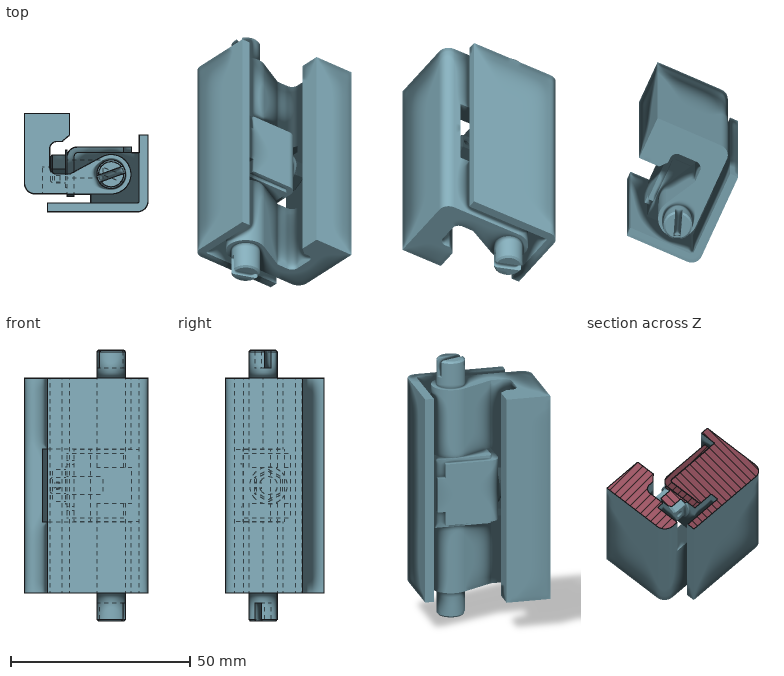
import cadquery as cq
import math

leaf_length = 60.0
overall_length = 75.6
total_width = 34.5
total_depth = 27.5

leaf_front = 5.0
leaf_corner_radius = 3.0
lip_width = 12.6
lip_chamfer_x = 2.1
lip_chamfer_y = 1.8
groove_left = 7.1
groove_top = 19.6
groove_radius = 2.0
knuckle_radius = 5.5
pin_x = 24.2
pin_y = leaf_front + knuckle_radius
groove_floor = pin_y
window_left = 5.0
window_length = 20.3

cover_thickness = 2.5
cover_left = 6.4
cover_leg_depth = 21.5
cover_corner_radius = 3.0
block_length = 20.0
block_left = 13.9
block_nose_front = 4.85
block_foot_left = 18.5
block_back = 16.5
block_corner_radius = 0.9

pin_radius = 4.0
pin_chamfer = 0.5
pin_inner_end = 5.0
pin_slot_width = 2.0
pin_slot_depth = 5.0
pin_slot_angle = 20.0

bracket_length = 18.0
bracket_leg_thickness = 2.0
bracket_top_thickness = 1.6
bracket_corner_radius = 2.8
bracket_shoulder_x = 27.6
bracket_tab_end_x = 29.9
bracket_tab_length = 10.0
bracket_left = block_left - bracket_leg_thickness
bracket_back = block_back + bracket_top_thickness
foot_radius = 0.55
foot_spacing = 12.8

screw_y = 12.0
screw_flats = 7.8
screw_head_height = 4.1
screw_chamfer = 0.5
flange_radius = 5.2
flange_thickness = 0.5
shank_radius = 2.5
shank_length = 10.0
cross_hole_radius = 0.75
cross_hole_depth = 2.0
cross_hole_chamfer = 0.3
cross_hole_setback = 2.2


def box(x_min, x_max, y_min, y_max, height):
    """Block between the given X and Y limits, centred on Z = 0."""
    block = cq.Workplane("XY").box(x_max - x_min, y_max - y_min, height, centered=(False, False, True))
    return block.translate((x_min, y_min, 0))


def x_cylinder(radius, x_start, length):
    """Cylinder along +X on the screw axis."""
    return cq.Workplane("YZ", origin=(x_start, screw_y, 0)).circle(radius).extrude(length)


def make_pin(end):
    """Slotted hinge pin; end is +1 for the upper pin and -1 for the lower one."""
    tip = overall_length / 2
    pin = (
        cq.Workplane("XY", origin=(0, 0, pin_inner_end))
        .circle(pin_radius)
        .extrude(tip - pin_inner_end)
        .faces(">Z")
        .chamfer(pin_chamfer)
    )
    slot = (
        cq.Workplane("XY", origin=(0, 0, tip - pin_slot_depth))
        .rect(4 * pin_radius, pin_slot_width)
        .extrude(pin_slot_depth)
        .rotate((0, 0, 0), (0, 0, 1), pin_slot_angle)
    )
    pin = pin.cut(slot)
    if end < 0:
        pin = pin.rotate((0, 0, 0), (1, 0, 0), 180)
    return pin.translate((pin_x, pin_y, 0))


def make_pin_bore(end):
    """Full cylinder that a pin occupies, used to bore its hole."""
    bore_length = overall_length / 2 - pin_inner_end
    start = cq.Workplane("XY", origin=(pin_x, pin_y, end * pin_inner_end))
    return start.circle(pin_radius).extrude(end * bore_length)


def make_frame_leaf():
    """Hooked leaf with its groove and the two end knuckles."""
    ramp_run = pin_x - lip_width
    ramp_angle = math.asin(knuckle_radius / ramp_run)
    tangent_x = pin_x - knuckle_radius * math.sin(ramp_angle)
    tangent_y = pin_y + knuckle_radius * math.cos(ramp_angle)
    leaf = (
        cq.Workplane("XY", origin=(0, 0, -leaf_length / 2))
        .moveTo(0, total_depth)
        .lineTo(lip_width, total_depth)
        .lineTo(lip_width, groove_top + lip_chamfer_y)
        .lineTo(lip_width - lip_chamfer_x, groove_top)
        .lineTo(groove_left + groove_radius, groove_top)
        .radiusArc((groove_left, groove_top - groove_radius), -groove_radius)
        .lineTo(groove_left, groove_floor + groove_radius)
        .radiusArc((groove_left + groove_radius, groove_floor), -groove_radius)
        .lineTo(lip_width, groove_floor)
        .lineTo(tangent_x, tangent_y)
        .threePointArc((pin_x + knuckle_radius, pin_y), (pin_x, leaf_front))
        .lineTo(leaf_corner_radius, leaf_front)
        .radiusArc((0, leaf_front + leaf_corner_radius), leaf_corner_radius)
        .close()
        .extrude(leaf_length)
    )
    window = box(window_left, lip_width, leaf_front, groove_floor + groove_radius, window_length)
    knuckle_gap = box(lip_width, total_width, leaf_front, pin_y + knuckle_radius, window_length)
    return leaf.cut(window).cut(knuckle_gap)


def make_cover_leaf():
    """Angled cover plate carrying the middle knuckle block."""
    plate = box(cover_left, total_width, 0, cover_leg_depth, leaf_length)
    plate = plate.edges("|Z and >X and <Y").fillet(cover_corner_radius)
    inner_x = total_width - cover_thickness
    hollow = box(cover_left, inner_x, cover_thickness, cover_leg_depth, leaf_length)
    hollow = hollow.edges("|Z and >X and <Y").fillet(cover_corner_radius - cover_thickness)
    block = box(block_left, inner_x, block_nose_front, block_back, block_length)
    block = block.edges("|Z and <X and >Y").fillet(block_corner_radius)
    embed = cover_thickness / 2
    foot = box(block_foot_left, inner_x + embed, embed, block_nose_front, block_length)
    return plate.cut(hollow).union(block).union(foot)


def make_bracket():
    """Bent strap over the block, with a narrower end tab and two round feet."""
    bracket = box(bracket_left, bracket_shoulder_x, block_nose_front, bracket_back, bracket_length)
    bracket = bracket.edges("|Z and <X and >Y").fillet(bracket_corner_radius)
    tab = box(bracket_shoulder_x, bracket_tab_end_x, block_back, bracket_back, bracket_tab_length)
    inside = box(block_left, bracket_shoulder_x, block_nose_front, block_back, bracket_length)
    inside = inside.edges("|Z and <X and >Y").fillet(block_corner_radius)
    bracket = bracket.cut(inside).union(tab)
    for side in (-1, 1):
        foot = (
            cq.Workplane("YZ", origin=(bracket_left, block_nose_front, side * foot_spacing / 2))
            .circle(foot_radius)
            .extrude(bracket_leg_thickness)
        )
        bracket = bracket.union(foot)
    return bracket


def make_screw():
    """Hexagon screw along X with flange, shank and a countersunk hole in one flat."""
    flange_x = bracket_left - flange_thickness
    head_x = flange_x - screw_head_height
    corner_radius = screw_flats / math.sqrt(3)
    head = (
        cq.Workplane("YZ", origin=(head_x, screw_y, 0))
        .polygon(6, 2 * corner_radius)
        .extrude(screw_head_height)
        .rotate((0, screw_y, 0), (1, screw_y, 0), 90)
        .faces("<X")
        .chamfer(screw_chamfer)
    )
    hole_x = flange_x - cross_hole_setback
    flat_y = screw_y - screw_flats / 2
    mouth_radius = cross_hole_radius + cross_hole_chamfer
    into_head = cq.Vector(0, 1, 0)
    mouth = cq.Vector(hole_x, flat_y, 0)
    hole = cq.Solid.makeCylinder(cross_hole_radius, cross_hole_depth, mouth, into_head)
    countersink = cq.Solid.makeCone(mouth_radius, cross_hole_radius, cross_hole_chamfer, mouth, into_head)
    head = head.cut(cq.Workplane(hole)).cut(cq.Workplane(countersink))
    flange = x_cylinder(flange_radius, flange_x, flange_thickness)
    shank = x_cylinder(shank_radius, bracket_left, shank_length)
    return head.union(flange).union(shank)


pins = [make_pin(end) for end in (1, -1)]
screw = make_screw()
screw_bore = x_cylinder(shank_radius, bracket_left, shank_length)
frame_leaf = make_frame_leaf()
cover_leaf = make_cover_leaf().cut(screw_bore)
for end in (1, -1):
    frame_leaf = frame_leaf.cut(make_pin_bore(end))
    cover_leaf = cover_leaf.cut(make_pin_bore(end))
bracket = make_bracket().cut(screw_bore)

bodies = [frame_leaf, cover_leaf, bracket, screw, *pins]
result = cq.Compound.makeCompound([body.solids().val() for body in bodies])